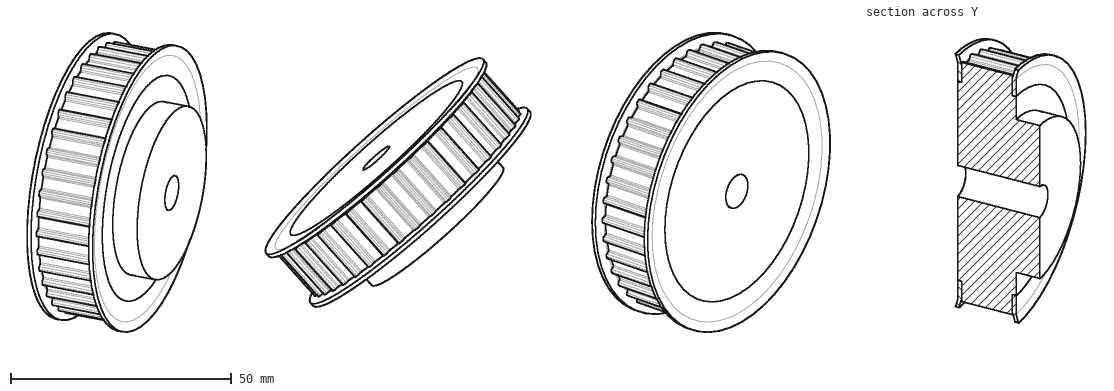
import cadquery as cq
import math

TOOTH_FACE_WIDTH = 13.0
FLANGE_THICKNESS = 1.0
FLANGE_DISH = 0.6
HUB_LENGTH = 6.0
CORE_WIDTH = TOOTH_FACE_WIDTH + 2 * FLANGE_THICKNESS

FLANGE_RADIUS = 33.0
FLANGE_BEND_RADIUS = 30.7
FLANGE_SEAT_RADIUS = 26.0
HUB_RADIUS = 40.0 / 2
BORE_RADIUS = 8.0 / 2

TOOTH_COUNT = 40
HALF_PITCH_ANGLE = 180 / TOOTH_COUNT
TIP_RADIUS = 31.2
ROOT_RADIUS = 30.0
GAP_FLOOR_WIDTH = 2.9
FLANK_ANGLE = 20.0
TIP_ROUND = 0.45
ROOT_ROUND = 0.3
EDGE_TOLERANCE = 0.005


def cylinder_along_x(radius, start, length):
    """Solid cylinder on the X axis."""
    return cq.Workplane("YZ", origin=(start, 0, 0)).circle(radius).extrude(length)


def tooth_gap():
    """Wedge-shaped gap with a cylindrical floor, half a pitch away from the +Y axis."""
    flank_slope = math.tan(math.radians(FLANK_ANGLE))
    apex_radius = ROOT_RADIUS - GAP_FLOOR_WIDTH / 2 / flank_slope
    mouth_radius = 2 * TIP_RADIUS - ROOT_RADIUS
    mouth_half = (mouth_radius - apex_radius) * flank_slope
    return (
        cq.Workplane("YZ", origin=(FLANGE_THICKNESS, 0, 0))
        .polyline([(apex_radius, 0), (mouth_radius, -mouth_half), (mouth_radius, mouth_half)])
        .close()
        .extrude(TOOTH_FACE_WIDTH)
        .cut(cylinder_along_x(ROOT_RADIUS, 0, CORE_WIDTH))
        .rotate((0, 0, 0), (1, 0, 0), HALF_PITCH_ANGLE)
        .val()
    )


def axial_edges_at(body, radius):
    """Edges parallel to X at the given distance from the X axis."""
    edges = body.edges("|X").vals()
    return body.newObject([
        edge for edge in edges
        if math.isclose(math.hypot(edge.Center().y, edge.Center().z), radius, abs_tol=EDGE_TOLERANCE)
    ])


def toothed_rim():
    """Disc with straight teeth, rounded along the tips and the roots.

    The blank is turned by half a pitch so that its seam line is cut away by a gap.
    """
    gap = tooth_gap()
    axis_start, axis_end = cq.Vector(0, 0, 0), cq.Vector(1, 0, 0)
    gaps = [gap.rotate(axis_start, axis_end, 2 * i * HALF_PITCH_ANGLE) for i in range(TOOTH_COUNT)]
    blank = (
        cylinder_along_x(TIP_RADIUS, FLANGE_THICKNESS, TOOTH_FACE_WIDTH)
        .rotate(axis_start, axis_end, HALF_PITCH_ANGLE)
    )
    rim = blank.newObject([blank.val().cut(*gaps)])
    rim = axial_edges_at(rim, ROOT_RADIUS).fillet(ROOT_ROUND)
    return axial_edges_at(rim, TIP_RADIUS).fillet(TIP_ROUND)


def make_pulley():
    """Toothed rim, flange seats at both ends, hub and through bore in one body."""
    core = cylinder_along_x(FLANGE_SEAT_RADIUS, 0, CORE_WIDTH)
    hub = cylinder_along_x(HUB_RADIUS, CORE_WIDTH, HUB_LENGTH)
    bore = cylinder_along_x(BORE_RADIUS, 0, CORE_WIDTH + HUB_LENGTH)
    return toothed_rim().union(core).union(hub).cut(bore)


def make_flange(inner_face, outward):
    """Dished ring; outward is -1 or +1, the X direction facing away from the teeth."""
    outer_face = inner_face + outward * FLANGE_THICKNESS
    dish = outward * FLANGE_DISH
    return (
        cq.Workplane("XY")
        .polyline([
            (inner_face, FLANGE_SEAT_RADIUS),
            (inner_face, FLANGE_BEND_RADIUS),
            (inner_face + dish, FLANGE_RADIUS),
            (outer_face + dish, FLANGE_RADIUS),
            (outer_face, FLANGE_BEND_RADIUS),
            (outer_face, FLANGE_SEAT_RADIUS),
        ])
        .close()
        .revolve(360, (0, 0, 0), (1, 0, 0))
    )


pulley = make_pulley()
flanges = [
    make_flange(inner_face, outward).val()
    for inner_face, outward in [(FLANGE_THICKNESS, -1), (CORE_WIDTH - FLANGE_THICKNESS, 1)]
]

result = cq.Compound.makeCompound([pulley.val(), *flanges])